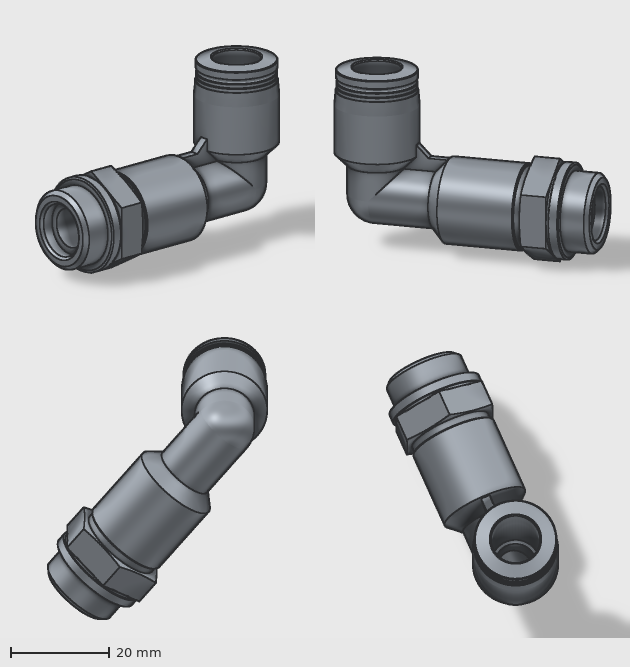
import cadquery as cq
import math


tube_diameter = 12.25
bore_diameter = 8.3

top_z = 27.0
crown_edge_z = 26.5
flange_bottom_z = 24.85
ring_top_z = 23.9
ring_groove_z = 22.85
ring_groove_width = 0.2
cup_top_z = 22.0
cup_joint_z = 19.0
cup_bottom_z = 8.8
cup_cone_bottom_z = 6.2
cup_diameter = 17.5
cup_top_diameter = 17.0
ring_diameter = 16.65
ring_chamfer = 0.15
ring_groove_diameter = 16.5
collet_neck_diameter = 11.5
flange_diameter = 16.8
crown_diameter = 16.5
crown_edge_chamfer = (flange_diameter - crown_diameter) / 2
socket_diameter = 10.0
socket_bottom_z = cup_bottom_z
socket_chamfer = 0.3

body_cone_start = 12.8
body_start = 15.65
body_end = 31.85
hex_start = 33.4
hex_end = 39.1
washer_start = 39.75
washer_end = 41.8
stem_end = 47.7
body_diameter = 18.0
body_end_chamfer = 0.2
stem_neck_diameter = 17.0
hex_across_flats = 19.0
hex_chamfer_depth = 0.31
washer_diameter = 20.0
washer_face_diameter = 19.0
washer_bevel_length = 0.15
thread_diameter = 16.65
thread_chamfer = 0.9
counterbore_diameter = 11.1
counterbore_depth = 2.8
counterbore_chamfer = 0.55

rib_width = 1.9
rib_top_z = 8.75
rib_slope_rise = 2.6


def turned(profile):
    """Solid of revolution about Z from (diameter, height) corners, closed along the axis."""
    points = [(diameter / 2, height) for diameter, height in profile]
    points = [(0, points[0][1])] + points + [(0, points[-1][1])]
    return cq.Workplane("XZ").polyline(points).close().revolve(360, (0, 0), (0, 1))


def along_stem(solid):
    """Turn a solid built along +Z so that it points along -Y."""
    return solid.rotate((0, 0, 0), (1, 0, 0), 90)


def collet_socket():
    groove_top_z = ring_groove_z + ring_groove_width / 2
    groove_bottom_z = ring_groove_z - ring_groove_width / 2
    socket_rim_diameter = socket_diameter + 2 * socket_chamfer
    return turned([
        (tube_diameter, 0),
        (tube_diameter, cup_cone_bottom_z),
        (cup_diameter, cup_bottom_z),
        (cup_diameter, cup_joint_z),
        (cup_top_diameter, cup_top_z),
        (ring_diameter, cup_top_z),
        (ring_diameter, groove_bottom_z),
        (ring_groove_diameter, groove_bottom_z),
        (ring_groove_diameter, groove_top_z),
        (ring_diameter, groove_top_z),
        (ring_diameter, ring_top_z - ring_chamfer),
        (ring_diameter - 2 * ring_chamfer, ring_top_z),
        (collet_neck_diameter, ring_top_z),
        (collet_neck_diameter, flange_bottom_z),
        (flange_diameter, flange_bottom_z),
        (flange_diameter, crown_edge_z - crown_edge_chamfer),
        (crown_diameter, crown_edge_z),
        (socket_rim_diameter, top_z),
    ])


def stem():
    return along_stem(turned([
        (tube_diameter, 0),
        (tube_diameter, body_cone_start),
        (body_diameter, body_start),
        (body_diameter, body_end - body_end_chamfer),
        (body_diameter - 2 * body_end_chamfer, body_end),
        (stem_neck_diameter, body_end),
        (stem_neck_diameter, hex_start),
        (hex_across_flats, hex_start),
        (hex_across_flats, washer_start),
        (washer_diameter, washer_start),
        (washer_diameter, washer_end - washer_bevel_length),
        (washer_face_diameter, washer_end),
        (thread_diameter, washer_end),
        (thread_diameter, stem_end - thread_chamfer),
        (thread_diameter - 2 * thread_chamfer, stem_end),
    ]))


def hexagon():
    """Hexagon with corners up and down, its corners bevelled on the body side."""
    corner_diameter = hex_across_flats / math.cos(math.pi / 6)
    prism = (
        cq.Workplane("XY", origin=(0, 0, hex_start))
        .polygon(6, corner_diameter)
        .extrude(hex_end - hex_start)
        .rotate((0, 0, 0), (0, 0, 1), 90)
    )
    bevel = turned([
        (hex_across_flats, hex_start),
        (corner_diameter, hex_start + hex_chamfer_depth),
        (corner_diameter, hex_end),
    ])
    return along_stem(prism.intersect(bevel))


def rib():
    cup_side = -cup_diameter / 2
    return (
        cq.Workplane("YZ")
        .polyline([
            (0, 0),
            (0, rib_top_z + rib_slope_rise),
            (cup_side, rib_top_z + rib_slope_rise),
            (cup_side - rib_slope_rise, rib_top_z),
            (-body_start, rib_top_z),
            (-body_start, 0),
        ])
        .close()
        .extrude(rib_width / 2, both=True)
    )


def bores():
    socket_bore = turned([
        (bore_diameter, 0),
        (bore_diameter, socket_bottom_z),
        (socket_diameter, socket_bottom_z),
        (socket_diameter, top_z - socket_chamfer),
        (socket_diameter + 2 * socket_chamfer, top_z),
    ])
    stem_bore = along_stem(turned([
        (bore_diameter, 0),
        (bore_diameter, stem_end - counterbore_depth),
        (counterbore_diameter, stem_end - counterbore_depth),
        (counterbore_diameter, stem_end - counterbore_chamfer),
        (counterbore_diameter + 2 * counterbore_chamfer, stem_end),
    ]))
    corner = cq.Workplane("XY").sphere(bore_diameter / 2)
    return socket_bore.union(stem_bore).union(corner)


outer_corner = cq.Workplane("XY").sphere(tube_diameter / 2)
outside = collet_socket().union(stem()).union(hexagon()).union(outer_corner).union(rib())
result = outside.cut(bores())